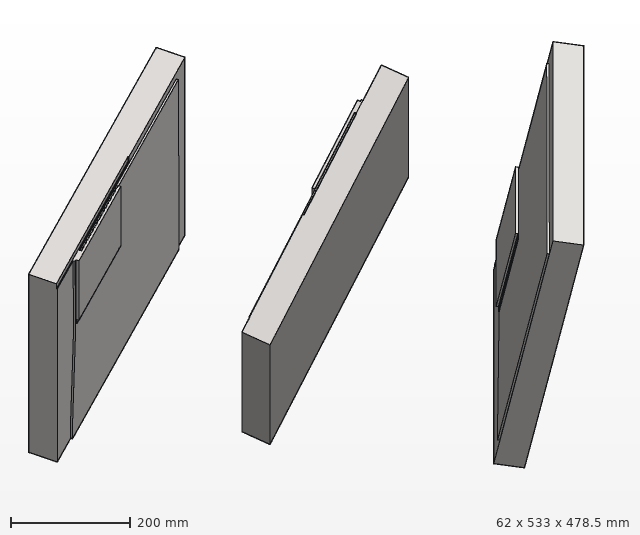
import cadquery as cq

TOTAL_DEPTH = 62.0
WIDTH = 533
HEIGHT = 478.5

PANEL_DEPTH = 53.0
COVER_DEPTH = 56.5
BACKING_DEPTH = 58.0

RELIEF_FLOOR = 51.0
RELIEF_HEIGHT = 13.0
RELIEF_END_Y = 32

COVER_BOTTOM = 1.5
TAB_TOP = HEIGHT - RELIEF_HEIGHT
TAB_END_Y = -175.0
TAB_RISE = 4.0
COVER_TOP = TAB_TOP - TAB_RISE
COVER_TOP_RIGHT = 230.5
COVER_BOTTOM_RIGHT = 234.0
COVER_TOP_LEFT = -200.5
COVER_WAIST_LEFT = -198.5
COVER_BOTTOM_LEFT = -211.5
SHOULDER_Z = 426.0
WAIST_Z = 283.5
FOOT_Z = 35.0

BLOCK_LEFT = -197.0
BLOCK_RIGHT = -22.0
BLOCK_BOTTOM = 305.5
BACKING_BOTTOM = 295.0


def box_between(x_range, y_range, z_range):
    """Box spanning the given (low, high) range on each axis."""
    lows, highs = zip(x_range, y_range, z_range)
    sizes = [high - low for low, high in zip(lows, highs)]
    return cq.Workplane("XY").box(*sizes, centered=False).translate(lows)


def make_panel():
    half_width = WIDTH / 2
    panel = box_between((0, PANEL_DEPTH), (-half_width, half_width), (0, HEIGHT))
    relief = box_between(
        (RELIEF_FLOOR, PANEL_DEPTH),
        (-half_width, RELIEF_END_Y),
        (TAB_TOP, HEIGHT),
    )
    return panel.cut(relief)


def make_cover():
    outline = [
        (COVER_TOP_RIGHT, COVER_TOP),
        (TAB_END_Y, COVER_TOP),
        (TAB_END_Y, TAB_TOP),
        (COVER_TOP_LEFT, TAB_TOP),
        (COVER_TOP_LEFT, SHOULDER_Z),
        (COVER_WAIST_LEFT, WAIST_Z),
        (COVER_BOTTOM_LEFT, FOOT_Z),
        (COVER_BOTTOM_LEFT, COVER_BOTTOM),
        (COVER_BOTTOM_RIGHT, COVER_BOTTOM),
    ]
    sketch = cq.Workplane("YZ", origin=(RELIEF_FLOOR, 0, 0)).polyline(outline).close()
    return sketch.extrude(COVER_DEPTH - RELIEF_FLOOR)


def make_raised_block():
    side_range = (BLOCK_LEFT, BLOCK_RIGHT)
    backing = box_between((RELIEF_FLOOR, BACKING_DEPTH), side_range, (BACKING_BOTTOM, COVER_TOP))
    block = box_between((COVER_DEPTH, TOTAL_DEPTH), side_range, (BLOCK_BOTTOM, TAB_TOP))
    return backing.union(block)


result = make_panel().union(make_cover()).union(make_raised_block())